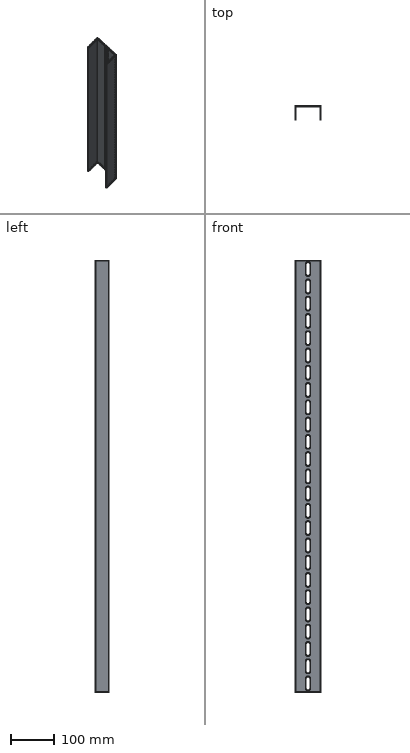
import cadquery as cq

width = 60.0
depth = 32.0
length = 1000.0
wall = 2.0

slot_count = 25
slot_pitch = length / slot_count
slot_length = 32.0
slot_width = 10.0


def channel():
    """U-channel along Z, with its web on the +Y side and open toward -Y."""
    block = cq.Workplane("XY").box(width, depth, length)
    cavity = cq.Workplane("XY").box(width - 2 * wall, depth, length).translate((0, -wall, 0))
    return block.cut(cavity)


def web_slots():
    """Cutters for the evenly spaced upright slots, reaching through the web."""
    return (
        cq.Workplane("XZ", origin=(0, depth / 2, 0))
        .rarray(10, slot_pitch, 1, slot_count)
        .slot2D(slot_length, slot_width, 90)
        .extrude(wall)
    )


result = channel().cut(web_slots())